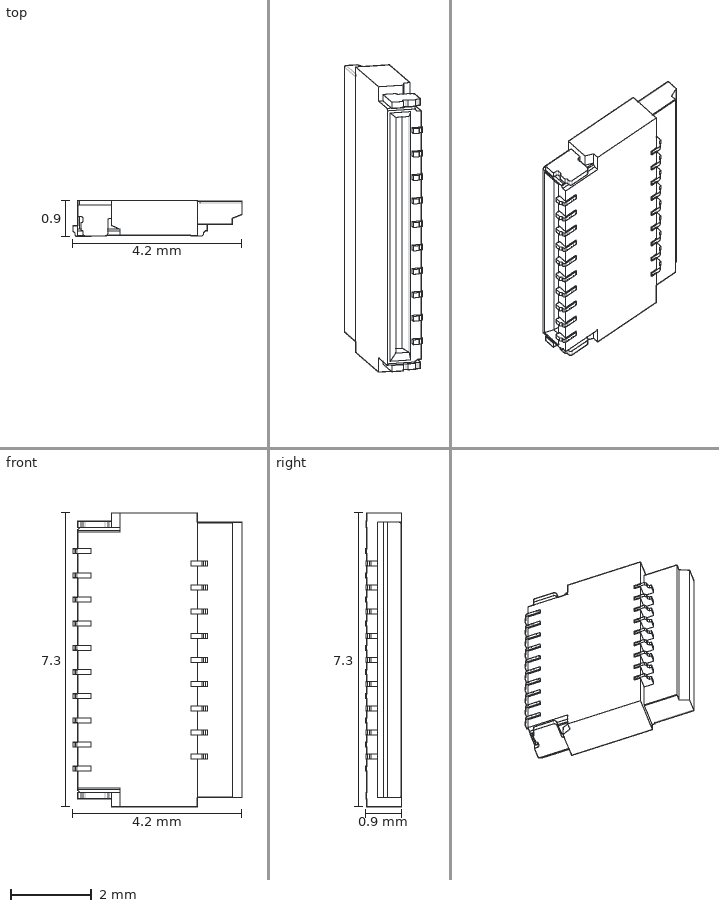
import cadquery as cq

TOTAL_X = 4.2
TOTAL_Y = 0.9
TOTAL_Z = 7.3

BODY_FRONT = 0.115
BODY_REAR = 3.09
BODY_BOTTOM = 0.03
EAR_FRONT = 0.955
EAR_STEP_X = 1.165
EAR_SLOPE_HIGH = 0.275
SHOULDER_Y = 0.185
NOSE_HALF_Z = 3.285
NOSE_CHAMFER = 0.05
SHOULDER_EDGE_Z = 3.22
FOOT_HALF_Z = 3.175
FOOT_TOP = SHOULDER_Y - (SHOULDER_EDGE_Z - FOOT_HALF_Z)

MOUTH_TOP = TOTAL_Y - 0.066
MOUTH_BOTTOM = 0.306
LEAD_IN_X = 0.148
LEAD_IN_DROP = 0.184
LEAD_IN_Z = 0.16
CAVITY_DEPTH = 0.6
CAVITY_TAPER = 0.055

TAIL_HALF_Z = 3.42
TAIL_TOP = 0.88
TAIL_BOTTOM = 0.297
TAIL_EDGE_RADIUS = 0.04
TAIL_TIP_BOTTOM = 0.55
TAIL_HEEL_X = 3.955
TAIL_HEEL_Y = 0.45
TAIL_EDGE_CHAMFER = 0.014
TAIL_BLOCK_LENGTH = 0.07

PITCH = 0.6
FRONT_COUNT = 10
REAR_COUNT = 9
CONTACT_WIDTH = 0.125
FRONT_FOOT_END = 0.445
FRONT_CONTACT_TOP = 0.27
FRONT_TIP_BOTTOM = 0.13
FRONT_STEP_Y = 0.095
FRONT_LEG_X = 0.045
FRONT_LEG_BEND_Y = 0.045
FRONT_HEEL_X = 0.07
FRONT_HEEL_Y = 0.01
REAR_FOOT_START = 2.925
REAR_FOOT_BOTTOM = 0.01
REAR_LEG_X = 3.245
REAR_BEND = 0.045
REAR_STEP_Y = 0.14
REAR_ARM_END = 3.34

TAB_OUTER_Z = 3.447
TAB_TOP = TOTAL_Y - 0.11
TAB_BOTTOM = 0.01
TAB_BEND = 0.045
TAB_HOOK_BOTTOM = 0.495
TAB_WAIST_X = 0.205
TAB_WAIST_TOP = 0.345
TAB_WAIST_BOTTOM = 0.155
TAB_FOOT_FRONT = 0.25
TAB_FOOT_REAR = 0.865
TAB_TOE_RADIUS = 0.05
TAB_HEEL_RADIUS = 0.07
TAB_HIP_Y = 0.45


def prism(points, z_low, z_high):
    """Extrude an XY outline from z_low to z_high."""
    return cq.Workplane("XY").workplane(offset=z_low).polyline(points).close().extrude(z_high - z_low)


def block(x_range, y_range, half_z):
    """Box centred on Z."""
    width = x_range[1] - x_range[0]
    height = y_range[1] - y_range[0]
    return cq.Workplane("XY").box(width, height, 2 * half_z, centered=(False, False, True)).translate(
        (x_range[0], y_range[0], 0)
    )


def make_nose():
    """Narrow front of the housing with a stepped underside and chamfered front edges."""
    section = [
        (BODY_BOTTOM, FOOT_HALF_Z),
        (FOOT_TOP, FOOT_HALF_Z),
        (SHOULDER_Y, SHOULDER_EDGE_Z),
        (SHOULDER_Y, NOSE_HALF_Z),
        (TOTAL_Y, NOSE_HALF_Z),
    ]
    mirrored = [(y, -z) for y, z in reversed(section)]
    nose = (
        cq.Workplane("YZ")
        .workplane(offset=BODY_FRONT)
        .polyline(section + mirrored)
        .close()
        .extrude(EAR_STEP_X - BODY_FRONT)
    )
    upright_edges = cq.selectors.BoxSelector((0, SHOULDER_Y, -TOTAL_Z), (EAR_FRONT, TOTAL_Y, TOTAL_Z))
    return nose.faces("<X").edges("|Y").edges(upright_edges).chamfer(NOSE_CHAMFER)


def make_main_body():
    """Full-width housing whose lower front corner slopes back to the nose shoulder."""
    outline = [
        (EAR_FRONT, TOTAL_Y),
        (BODY_REAR, TOTAL_Y),
        (BODY_REAR, BODY_BOTTOM),
        (EAR_STEP_X, BODY_BOTTOM),
        (EAR_STEP_X, SHOULDER_Y),
        (EAR_FRONT, EAR_SLOPE_HIGH),
    ]
    return prism(outline, -TOTAL_Z / 2, TOTAL_Z / 2)


def make_mouth():
    """Cable cavity: flared entry above and at both ends, then tapering to a flat end wall."""
    throat_x = BODY_FRONT + LEAD_IN_X
    end_x = BODY_FRONT + CAVITY_DEPTH
    throat_top = MOUTH_TOP - LEAD_IN_DROP
    throat_half_z = FOOT_HALF_Z - LEAD_IN_Z

    def section(x, bottom, top, half_z):
        corners = [(x, bottom, -half_z), (x, top, -half_z), (x, top, half_z), (x, bottom, half_z)]
        return cq.Wire.makePolygon([cq.Vector(*corner) for corner in corners], close=True)

    entry = section(BODY_FRONT, MOUTH_BOTTOM, MOUTH_TOP, FOOT_HALF_Z)
    throat = section(throat_x, MOUTH_BOTTOM, throat_top, throat_half_z)
    end = section(end_x, MOUTH_BOTTOM + CAVITY_TAPER, throat_top - CAVITY_TAPER, throat_half_z)
    flare = cq.Solid.makeLoft([entry, throat], True)
    cavity = cq.Solid.makeLoft([throat, end], True)
    return cq.Workplane("XY").add(flare).union(cq.Workplane("XY").add(cavity))


def make_tail():
    """Rear ledge with a sloped nose, rounded upper and chamfered lower end edges."""
    outline = [
        (BODY_REAR, TAIL_TOP),
        (TOTAL_X, TAIL_TOP),
        (TOTAL_X, TAIL_TIP_BOTTOM),
        (TAIL_HEEL_X, TAIL_HEEL_Y),
        (TAIL_HEEL_X, TAIL_BOTTOM),
        (BODY_REAR, TAIL_BOTTOM),
    ]
    tail = prism(outline, -TAIL_HALF_Z, TAIL_HALF_Z)
    tail = tail.faces(">Y").edges("|X").fillet(TAIL_EDGE_RADIUS)
    tail = tail.faces("<Y").edges("|X").chamfer(TAIL_EDGE_CHAMFER)
    end_block = block(
        (BODY_REAR, BODY_REAR + TAIL_BLOCK_LENGTH), (TAIL_TOP - TAIL_EDGE_RADIUS, TAIL_TOP), TAIL_HALF_Z
    )
    return tail.union(end_block)


def make_contacts(outline, count):
    """Row of identical contacts centred on Z."""
    row = cq.Workplane("XY")
    for index in range(count):
        z_mid = (index - (count - 1) / 2) * PITCH
        row = row.add(prism(outline, z_mid - CONTACT_WIDTH / 2, z_mid + CONTACT_WIDTH / 2))
    return row.combine()


def front_contact_outline():
    """Lead hooked over the front face, with a foot under the housing."""
    return [
        (0, FRONT_CONTACT_TOP),
        (0, FRONT_TIP_BOTTOM),
        (FRONT_LEG_X, FRONT_STEP_Y),
        (FRONT_LEG_X, FRONT_LEG_BEND_Y),
        (FRONT_HEEL_X, FRONT_HEEL_Y),
        (BODY_FRONT, 0),
        (FRONT_FOOT_END, 0),
        (FRONT_FOOT_END, BODY_BOTTOM),
        (BODY_FRONT, BODY_BOTTOM),
        (BODY_FRONT, FRONT_CONTACT_TOP),
    ]


def rear_contact_outline():
    """Stepped lead filling the corner below the tail, with a foot under the housing."""
    return [
        (REAR_FOOT_START, REAR_FOOT_BOTTOM),
        (REAR_LEG_X - REAR_BEND, REAR_FOOT_BOTTOM),
        (REAR_LEG_X, REAR_FOOT_BOTTOM + REAR_BEND),
        (REAR_LEG_X, REAR_STEP_Y - REAR_BEND),
        (REAR_LEG_X + REAR_BEND, REAR_STEP_Y),
        (REAR_ARM_END, REAR_STEP_Y),
        (REAR_ARM_END, TAIL_BOTTOM),
        (BODY_REAR, TAIL_BOTTOM),
        (BODY_REAR, BODY_BOTTOM),
        (REAR_FOOT_START, BODY_BOTTOM),
    ]


def make_tab():
    """Plate at the +Z end with a narrow waist notch in front and a rounded foot."""
    tab = (
        cq.Workplane("XY")
        .workplane(offset=NOSE_HALF_Z)
        .moveTo(BODY_FRONT, TAB_TOP)
        .lineTo(EAR_FRONT, TAB_TOP)
        .lineTo(EAR_FRONT, TAB_HIP_Y)
        .lineTo(TAB_FOOT_REAR + TAB_BEND, TAB_HIP_Y)
        .radiusArc((TAB_FOOT_REAR, TAB_HIP_Y - TAB_BEND), -TAB_BEND)
        .lineTo(TAB_FOOT_REAR, TAB_BOTTOM + TAB_HEEL_RADIUS)
        .radiusArc((TAB_FOOT_REAR - TAB_HEEL_RADIUS, TAB_BOTTOM), TAB_HEEL_RADIUS)
        .lineTo(TAB_FOOT_FRONT + TAB_TOE_RADIUS, TAB_BOTTOM)
        .radiusArc((TAB_FOOT_FRONT, TAB_BOTTOM + TAB_TOE_RADIUS), TAB_TOE_RADIUS)
        .lineTo(TAB_FOOT_FRONT, TAB_WAIST_BOTTOM - TAB_BEND)
        .radiusArc((TAB_WAIST_X, TAB_WAIST_BOTTOM), -TAB_BEND)
        .lineTo(TAB_WAIST_X, TAB_WAIST_TOP)
        .radiusArc((TAB_FOOT_FRONT, TAB_WAIST_TOP + TAB_BEND), -TAB_BEND)
        .lineTo(TAB_FOOT_FRONT, TAB_HOOK_BOTTOM - TAB_BEND)
        .radiusArc((TAB_FOOT_FRONT - TAB_BEND, TAB_HOOK_BOTTOM), -TAB_BEND)
        .lineTo(BODY_FRONT, TAB_HOOK_BOTTOM)
        .close()
    )
    return tab.extrude(TAB_OUTER_Z - NOSE_HALF_Z)


housing = make_main_body().union(make_nose()).cut(make_mouth()).union(make_tail())
housing = housing.union(make_contacts(front_contact_outline(), FRONT_COUNT))
housing = housing.union(make_contacts(rear_contact_outline(), REAR_COUNT))
tab = make_tab()
housing = housing.union(tab).union(tab.mirror("XY"))
result = housing.translate((-TOTAL_X / 2, -TOTAL_Y / 2, 0))